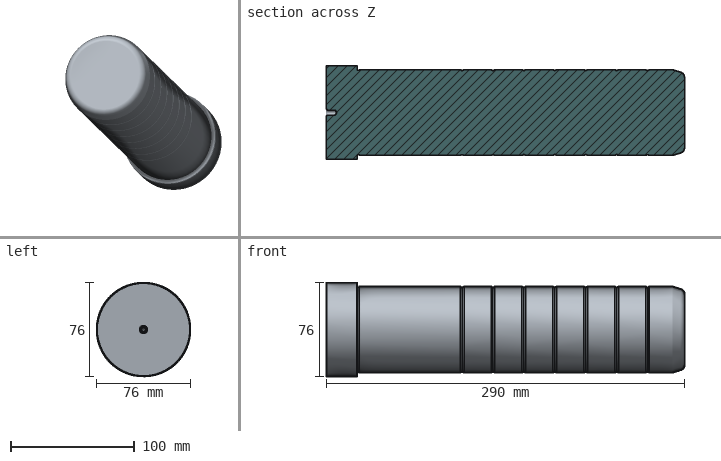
import cadquery as cq
import math

total_length = 290.0
head_diameter = 76.0
head_length = 25.2
head_chamfer = 0.5
shaft_diameter = 70.0

relief_width = 1.7
relief_depth = 0.5

groove_count = 7
first_groove_distance = 110.0
last_groove_distance = 259.8
groove_width = 3.2
groove_depth = 1.0

nose_length = 10.2
cone_angle = math.radians(17)
nose_radius = 5.0

countersink_diameter = 6.0
countersink_half_angle = math.radians(45)
pilot_diameter = 3.8
pilot_depth = 7.2
tip_half_angle = math.radians(60)

groove_pitch = (last_groove_distance - first_groove_distance) / (groove_count - 1)
head_radius = head_diameter / 2
shaft_radius = shaft_diameter / 2
left_end = -total_length / 2
right_end = total_length / 2
head_shoulder_x = left_end + head_length


def revolve_about_x(profile):
    return profile.close().revolve(360, (0, 0, 0), (1, 0, 0))


def make_blank():
    """Head, relief and shaft with the tapered, rounded nose."""
    relief_end = head_shoulder_x + relief_width
    relief_radius = shaft_radius - relief_depth
    cone_start = right_end - nose_length

    arc_center_x = right_end - nose_radius
    cone_end = arc_center_x + nose_radius * math.sin(cone_angle)
    cone_end_radius = shaft_radius - (cone_end - cone_start) * math.tan(cone_angle)
    arc_center_radius = cone_end_radius - nose_radius * math.cos(cone_angle)
    arc_middle_angle = (cone_angle + math.pi / 2) / 2
    arc_middle = (
        arc_center_x + nose_radius * math.sin(arc_middle_angle),
        arc_center_radius + nose_radius * math.cos(arc_middle_angle),
    )

    profile = (
        cq.Workplane("XY")
        .moveTo(left_end, 0)
        .lineTo(left_end, head_radius - head_chamfer)
        .lineTo(left_end + head_chamfer, head_radius)
        .lineTo(head_shoulder_x - head_chamfer, head_radius)
        .lineTo(head_shoulder_x, head_radius - head_chamfer)
        .lineTo(head_shoulder_x, relief_radius)
        .lineTo(relief_end, relief_radius)
        .lineTo(relief_end, shaft_radius)
        .lineTo(cone_start, shaft_radius)
        .lineTo(cone_end, cone_end_radius)
        .threePointArc(arc_middle, (right_end, arc_center_radius))
        .lineTo(right_end, 0)
    )
    return revolve_about_x(profile)


def make_ring_groove(center_x):
    """Ring with a V section that points at the axis."""
    clearance = groove_depth
    profile = (
        cq.Workplane("XY")
        .moveTo(center_x, shaft_radius - groove_depth)
        .lineTo(center_x + groove_width / 2, shaft_radius)
        .lineTo(center_x + groove_width / 2, shaft_radius + clearance)
        .lineTo(center_x - groove_width / 2, shaft_radius + clearance)
        .lineTo(center_x - groove_width / 2, shaft_radius)
    )
    return revolve_about_x(profile)


def make_center_drilling():
    """Countersink, straight pilot hole and the pointed bottom left by the drill."""
    countersink_radius = countersink_diameter / 2
    pilot_radius = pilot_diameter / 2
    pilot_start = left_end + (countersink_radius - pilot_radius) / math.tan(countersink_half_angle)
    pilot_end = left_end + pilot_depth
    tip_x = pilot_end + pilot_radius / math.tan(tip_half_angle)

    profile = (
        cq.Workplane("XY")
        .moveTo(left_end, 0)
        .lineTo(left_end, countersink_radius)
        .lineTo(pilot_start, pilot_radius)
        .lineTo(pilot_end, pilot_radius)
        .lineTo(tip_x, 0)
    )
    return revolve_about_x(profile)


result = make_blank().cut(make_center_drilling())

for index in range(groove_count):
    groove_x = left_end + first_groove_distance + index * groove_pitch
    result = result.cut(make_ring_groove(groove_x))